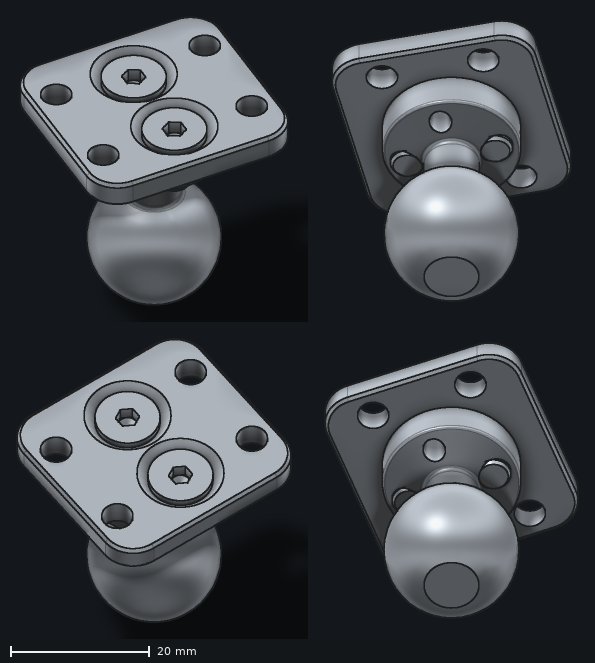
import cadquery as cq
import math


plate_length_x = 30.0
plate_length_y = 32.0
plate_thickness = 4.0
plate_corner_radius = 5.0
plate_chamfer = 0.5
mounting_hole_diameter = 4.5
mounting_hole_spacing_x = 15.0
mounting_hole_spacing_y = 24.0

screw_spacing = 13.0
screw_length = 10.0
screw_recess = 0.5
shank_radius = 5.0 / 2
shank_tip_inset = 0.4
shank_tip_height = 0.6
head_radius = 9.4 / 2
countersink_radius = 12.55 / 2
hex_across_flats = 3.0
hex_depth = 2.0
drill_point_depth = 0.52

overall_height = 35.0
flange_radius = 20.0 / 2
flange_height = 4.95
flange_cone_angle = 19.3
flange_edge_fillet = 0.5
neck_radius = 8.0 / 2
neck_top_fillet = 0.75
neck_ball_fillet = 0.88
ball_radius = 9.75
ball_center_z = -22.1
pin_hole_diameter = 3.22
pin_hole_offset = 7.0

plate_top_z = plate_thickness
ball_bottom_z = plate_top_z - overall_height
screw_top_z = plate_top_z - screw_recess
screw_tip_z = screw_top_z - screw_length
shank_tip_radius = shank_radius - shank_tip_inset
head_seat_z = plate_top_z - (countersink_radius - head_radius)
countersink_bottom_z = plate_top_z - (countersink_radius - shank_radius)
screw_positions = [(-screw_spacing / 2, 0), (screw_spacing / 2, 0)]


def vertical_hole(radius, bottom_z, top_z, positions):
    """Cutting cylinders at the given XY positions."""
    return (
        cq.Workplane("XY", origin=(0, 0, bottom_z))
        .pushPoints(positions)
        .circle(radius)
        .extrude(top_z - bottom_z)
    )


def make_plate():
    """Rounded plate with four mounting holes and two countersunk screw holes."""
    plate = (
        cq.Workplane("XY")
        .rect(plate_length_x, plate_length_y)
        .extrude(plate_thickness)
        .edges("|Z")
        .fillet(plate_corner_radius)
        .faces("<Z or >Z")
        .edges()
        .chamfer(plate_chamfer)
    )
    plate = (
        plate.faces(">Z")
        .workplane(origin=(0, 0, plate_top_z))
        .rarray(mounting_hole_spacing_x, mounting_hole_spacing_y, 2, 2)
        .hole(mounting_hole_diameter)
    )
    countersunk_hole = (
        cq.Workplane("XZ")
        .moveTo(0, 0)
        .lineTo(shank_radius, 0)
        .lineTo(shank_radius, countersink_bottom_z)
        .lineTo(countersink_radius, plate_top_z)
        .lineTo(0, plate_top_z)
        .close()
        .revolve(360, (0, 0, 0), (0, 1, 0))
    )
    for x, y in screw_positions:
        plate = plate.cut(countersunk_hole.translate((x, y, 0)))
    return plate


def make_ball_mount(screws):
    """Flange, conical underside, neck and truncated ball turned about Z."""
    cone_drop = (flange_radius - neck_radius) * math.tan(math.radians(flange_cone_angle))
    cone_bottom_z = -flange_height - cone_drop
    neck_bottom_z = ball_center_z + math.sqrt(ball_radius**2 - neck_radius**2)
    flat_radius = math.sqrt(ball_radius**2 - (ball_center_z - ball_bottom_z) ** 2)
    mount = (
        cq.Workplane("XZ")
        .moveTo(0, 0)
        .lineTo(flange_radius, 0)
        .lineTo(flange_radius, -flange_height)
        .lineTo(neck_radius, cone_bottom_z)
        .lineTo(neck_radius, neck_bottom_z)
        .threePointArc((ball_radius, ball_center_z), (flat_radius, ball_bottom_z))
        .lineTo(0, ball_bottom_z)
        .close()
        .revolve(360, (0, 0, 0), (0, 1, 0))
    )
    turned_edge_fillets = [
        (-flange_height, flange_edge_fillet),
        (cone_bottom_z, neck_top_fillet),
        (neck_bottom_z, neck_ball_fillet),
    ]
    for edge_z, fillet_radius in turned_edge_fillets:
        edge = cq.selectors.NearestToPointSelector((0, 0, edge_z))
        mount = mount.edges(edge).fillet(fillet_radius)

    mount = mount.cut(vertical_hole(shank_tip_radius, cone_bottom_z, 0, screw_positions))
    for screw in screws:
        mount = mount.cut(screw)
    pin_positions = [(0, -pin_hole_offset), (0, pin_hole_offset)]
    return mount.cut(vertical_hole(pin_hole_diameter / 2, cone_bottom_z, 0, pin_positions))


def make_screw(position):
    """Countersunk screw with a hexagon socket ending in a drill point."""
    screw = (
        cq.Workplane("XZ")
        .moveTo(0, screw_top_z)
        .lineTo(head_radius, screw_top_z)
        .lineTo(head_radius, head_seat_z)
        .lineTo(shank_radius, countersink_bottom_z)
        .lineTo(shank_radius, screw_tip_z + shank_tip_height)
        .lineTo(shank_tip_radius, screw_tip_z)
        .lineTo(0, screw_tip_z)
        .close()
        .revolve(360, (0, 0, 0), (0, 1, 0))
    )
    socket_bottom_z = screw_top_z - hex_depth
    hex_across_corners = hex_across_flats / math.cos(math.radians(30))
    socket = (
        cq.Workplane("XY", origin=(0, 0, socket_bottom_z))
        .polygon(6, hex_across_corners)
        .extrude(hex_depth)
    )
    drill_point = cq.Workplane(
        cq.Solid.makeCone(
            hex_across_flats / 2,
            0,
            drill_point_depth,
            pnt=cq.Vector(0, 0, socket_bottom_z),
            dir=cq.Vector(0, 0, -1),
        )
    )
    x, y = position
    return screw.cut(socket).cut(drill_point).translate((x, y, 0))


plate = make_plate()
screws = [make_screw(position) for position in screw_positions]
ball_mount = make_ball_mount(screws)

result = cq.Compound.makeCompound([plate.val(), ball_mount.val(), *[screw.val() for screw in screws]])